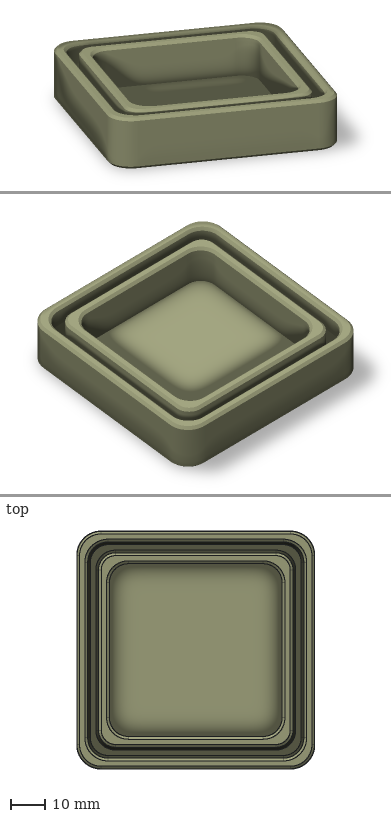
import cadquery as cq

SIDE = 69.85
HEIGHT = 15.875
BODY_RADIUS = 7.14
EDGE_CHAMFER = 0.83

RIM_WALL = 3.2
GROOVE_WIDTH = 3.175
GROOVE_OUTER_RADIUS = 6.0
GROOVE_INNER_RADIUS = 5.0
GROOVE_STRAIGHT_DEPTH = 6.35
GROOVE_TAPER = 0.78

POCKET_INSET = 9.575
POCKET_RADIUS = 5.55
FLOOR_THICKNESS = 3.175

groove_outer_side = SIDE - 2 * RIM_WALL
groove_inner_side = groove_outer_side - 2 * GROOVE_WIDTH
pocket_side = SIDE - 2 * POCKET_INSET
taper_start = HEIGHT - GROOVE_STRAIGHT_DEPTH
chamfer_start = HEIGHT - EDGE_CHAMFER


def rounded_prism(side, radius, bottom, top):
    """Upright square prism with rounded corners."""
    return (
        cq.Workplane("XY", origin=(0, 0, bottom))
        .rect(side, side)
        .extrude(top - bottom)
        .edges("|Z")
        .fillet(radius)
    )


def rounded_frustum(side, radius, near, far, growth):
    """Rounded square of the given size at height near, offset outward by growth at height far."""
    near_outline = cq.Sketch().rect(side, side).vertices().fillet(radius)
    far_side = side + 2 * growth
    far_outline = cq.Sketch().rect(far_side, far_side).vertices().fillet(radius + growth)
    shift = cq.Location(cq.Vector(0, 0, far - near))
    return (
        cq.Workplane("XY", origin=(0, 0, near))
        .placeSketch(near_outline, far_outline.moved(shift))
        .loft(ruled=True)
    )


def make_body():
    body = rounded_prism(SIDE, BODY_RADIUS, 0, HEIGHT)
    return body.faces("<Z or >Z").chamfer(EDGE_CHAMFER)


def make_groove():
    """Ring with a chamfered mouth, upright upper walls and tapered lower walls."""
    mouth = rounded_frustum(
        groove_outer_side, GROOVE_OUTER_RADIUS, chamfer_start, HEIGHT, EDGE_CHAMFER
    ).cut(
        rounded_frustum(
            groove_inner_side, GROOVE_INNER_RADIUS, chamfer_start, HEIGHT, -EDGE_CHAMFER
        )
    )
    upright = rounded_prism(
        groove_outer_side, GROOVE_OUTER_RADIUS, taper_start, chamfer_start
    ).cut(
        rounded_prism(groove_inner_side, GROOVE_INNER_RADIUS, taper_start, chamfer_start)
    )
    tapered = rounded_frustum(
        groove_outer_side, GROOVE_OUTER_RADIUS, taper_start, FLOOR_THICKNESS, -GROOVE_TAPER
    ).cut(
        rounded_frustum(
            groove_inner_side, GROOVE_INNER_RADIUS, taper_start, FLOOR_THICKNESS, GROOVE_TAPER
        )
    )
    return mouth.union(upright).union(tapered)


def make_pocket():
    """Straight-walled pocket with a chamfered mouth."""
    walls = rounded_prism(pocket_side, POCKET_RADIUS, FLOOR_THICKNESS, chamfer_start)
    mouth = rounded_frustum(pocket_side, POCKET_RADIUS, chamfer_start, HEIGHT, EDGE_CHAMFER)
    return walls.union(mouth)


result = make_body().cut(make_groove()).cut(make_pocket())